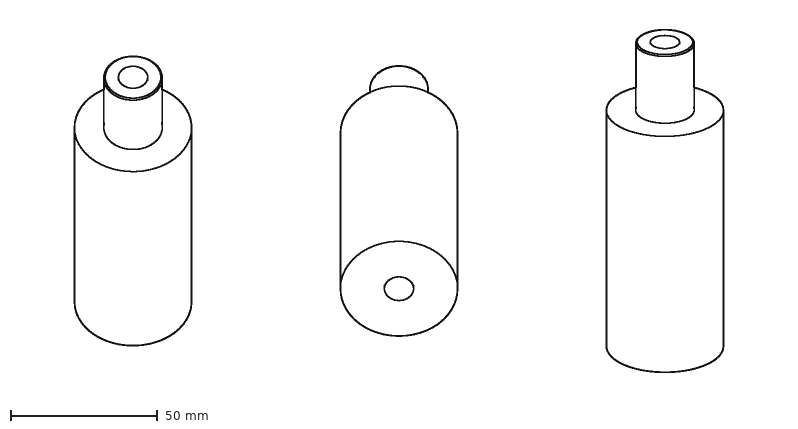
import cadquery as cq

total_height = 116.0
body_height = 90.0
body_diameter = 40.0
spigot_diameter = 20.0
bore_diameter = 10.0
spigot_chamfer = 0.5

spigot_height = total_height - body_height

body = cq.Workplane("XY").circle(body_diameter / 2).extrude(body_height)

spigot = (
    cq.Workplane("XY", origin=(0, 0, body_height))
    .circle(spigot_diameter / 2)
    .extrude(spigot_height)
    .faces(">Z")
    .edges()
    .chamfer(spigot_chamfer)
)

bore = cq.Workplane("XY").circle(bore_diameter / 2).extrude(total_height)

result = body.union(spigot).cut(bore)